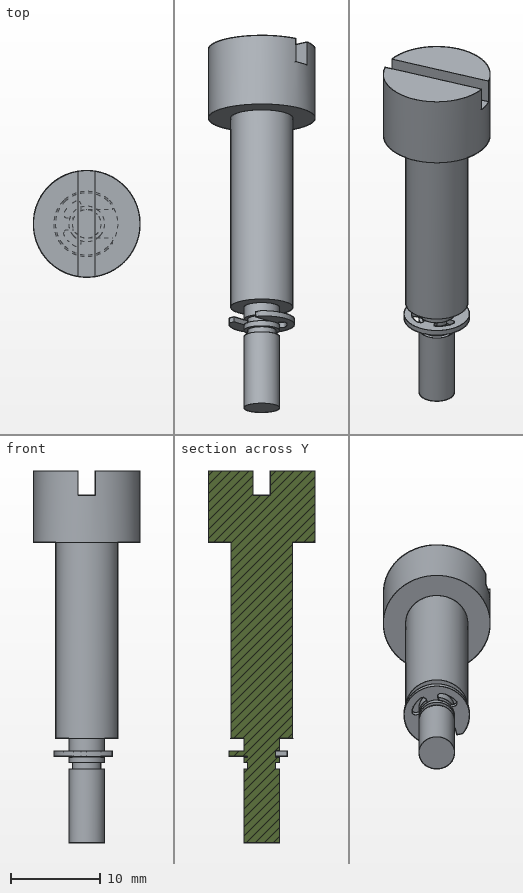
import cadquery as cq
import math

head_diameter = 12.0
head_height = 8.0
body_diameter = 7.0
body_length = 22.0
pin_diameter = 4.0
pin_length = 11.7
groove_diameter = 3.2

slot_width = 1.9
slot_depth = 2.7

groove_width = 0.7
clip_groove_top_drop = 1.4
lower_groove_top_drop = 2.7

clip_diameter = 7.35
clip_thickness = 0.6
clip_relief_radius = 2.83
clip_tip_x = 2.87
clip_lobe_half_width = 0.66
clip_relief_fillet = 0.4
clip_tip_fillet = 0.4

shoulder_z = pin_length
head_bottom_z = shoulder_z + body_length
head_top_z = head_bottom_z + head_height
clip_groove_top_z = shoulder_z - clip_groove_top_drop
lower_groove_top_z = shoulder_z - lower_groove_top_drop


def disc(diameter, bottom_z, height):
    return cq.Workplane("XY").workplane(offset=bottom_z).circle(diameter / 2).extrude(height)


def make_groove(top_z):
    bottom_z = top_z - groove_width
    return disc(pin_diameter, bottom_z, groove_width).cut(disc(groove_diameter, bottom_z, groove_width))


def make_screw():
    pin = disc(pin_diameter, 0, pin_length)
    pin = pin.cut(make_groove(clip_groove_top_z))
    pin = pin.cut(make_groove(lower_groove_top_z))
    body = disc(body_diameter, shoulder_z, body_length)
    head = disc(head_diameter, head_bottom_z, head_height)
    slot = (
        cq.Workplane("XY")
        .workplane(offset=head_top_z - slot_depth)
        .rect(slot_width, head_diameter)
        .extrude(slot_depth)
    )
    return pin.union(body).union(head.cut(slot))


def make_clip_relief(bottom_z, side):
    """Gap between the rear lobe and one arm, bounded by an arc; side is +1 or -1 along Y."""
    arm_side = ">Y" if side > 0 else "<Y"
    near = clip_lobe_half_width
    far = math.sqrt(clip_relief_radius**2 - near**2)
    middle = clip_relief_radius * math.sqrt(0.5)
    return (
        cq.Workplane("XY")
        .workplane(offset=bottom_z)
        .moveTo(-near, side * near)
        .lineTo(-far, side * near)
        .threePointArc((-middle, side * middle), (-near, side * far))
        .close()
        .extrude(clip_thickness)
        .edges(f"|Z and (<X or {arm_side})")
        .fillet(clip_relief_fillet)
    )


def make_clip():
    bottom_z = clip_groove_top_z - clip_thickness
    clip = disc(clip_diameter, bottom_z, clip_thickness)
    clip = clip.cut(disc(groove_diameter, bottom_z, clip_thickness))
    clip_radius = clip_diameter / 2
    base = cq.Workplane("XY").workplane(offset=bottom_z)
    mouth = base.center(clip_radius / 2, 0).rect(clip_radius, groove_diameter).extrude(clip_thickness)
    trimmed_length = clip_radius - clip_tip_x
    tip_trim = (
        base.center(clip_tip_x + trimmed_length / 2, 0)
        .rect(trimmed_length, clip_diameter)
        .extrude(clip_thickness)
    )
    clip = clip.cut(tip_trim)
    clip = clip.edges("|Z and >X").fillet(clip_tip_fillet)
    clip = clip.cut(mouth)
    for side in (1, -1):
        clip = clip.cut(make_clip_relief(bottom_z, side))
    return clip


result = make_screw().union(make_clip())